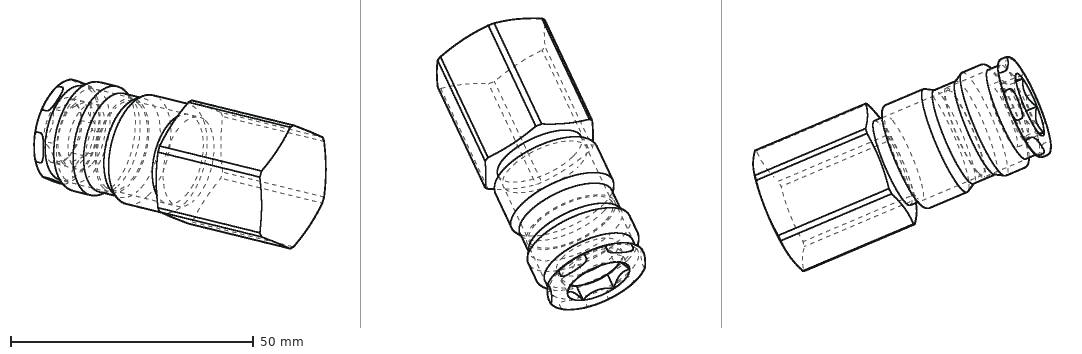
import cadquery as cq
import math

overall_length = 57.5

flange_length = 2.5
flange_diameter = 22.0
flange_flats = 21.0
flange_edge_radius = 0.8

front_neck_diameter = 20.0
rear_neck_diameter = 19

hexagon_start = 31.35
hexagon_flats = 24.05
hexagon_corner_diameter = 27
hexagon_bevel_depth = 0.45
hexagon_face_diameter = 23.9

socket_flats = 12.0
socket_bore_diameter = 14.0
socket_cone_tip_diameter = 10.35
socket_undercut_end = 3.55
socket_undercut_angle = math.radians(60)
socket_depth = 6.1

sleeve_start = 5.25
sleeve_length = 23.45
sleeve_diameter = 23.2
sleeve_edge_radius = 1.0
groove_start = 10.45
groove_width = 8.8
groove_floor_diameter = 21.0
groove_slope_length = 1.9

flats_to_y_turn = 30

sleeve_end = sleeve_start + sleeve_length
groove_end = groove_start + groove_width
stem_step = groove_start + groove_width / 2
hexagon_length = overall_length - hexagon_start


def disc(start, length, diameter):
    """Cylinder along X."""
    return cq.Workplane("YZ").workplane(offset=start).circle(diameter / 2).extrude(length)


def cone(start, length, start_diameter, end_diameter):
    """Truncated cone along X."""
    solid = cq.Solid.makeCone(
        start_diameter / 2, end_diameter / 2, length, cq.Vector(start, 0, 0), cq.Vector(1, 0, 0)
    )
    return cq.Workplane(solid)


def hexagonal_prism(start, length, across_flats, turn=0):
    """Hexagonal prism along X; without a turn, two of its corners point along Y."""
    across_corners = across_flats / math.cos(math.radians(30))
    prism = cq.Workplane("YZ").workplane(offset=start).polygon(6, across_corners).extrude(length)
    return prism.rotate((0, 0, 0), (1, 0, 0), turn)


def make_flange():
    """Disc with rounded edges, cut by six flats."""
    rounded_disc = disc(0, flange_length, flange_diameter).edges().fillet(flange_edge_radius)
    return rounded_disc.intersect(hexagonal_prism(0, flange_length, flange_flats, flats_to_y_turn))


def make_hexagonal_end():
    """Hexagon with turned corners and a bevel at both ends."""
    straight_length = hexagon_length - 2 * hexagon_bevel_depth
    straight_start = hexagon_start + hexagon_bevel_depth
    straight_end = straight_start + straight_length
    envelope = (
        disc(straight_start, straight_length, hexagon_corner_diameter)
        .union(cone(hexagon_start, hexagon_bevel_depth, hexagon_face_diameter, hexagon_corner_diameter))
        .union(cone(straight_end, hexagon_bevel_depth, hexagon_corner_diameter, hexagon_face_diameter))
    )
    return hexagonal_prism(hexagon_start, hexagon_length, hexagon_flats, flats_to_y_turn).intersect(envelope)


def make_socket():
    """Hollow of the socket: entry chamfer, hexagon, undercut cone and round bore."""
    cone_drop = (socket_bore_diameter - socket_cone_tip_diameter) / 2
    entry_length = cone_drop
    undercut_length = cone_drop / math.tan(socket_undercut_angle)
    undercut_start = socket_undercut_end - undercut_length
    bore_length = socket_depth - socket_undercut_end

    hexagon = hexagonal_prism(0, socket_undercut_end, socket_flats)
    entry = cone(0, entry_length, socket_bore_diameter, socket_cone_tip_diameter)
    undercut = cone(undercut_start, undercut_length, socket_cone_tip_diameter, socket_bore_diameter)
    bore = disc(socket_undercut_end, bore_length, socket_bore_diameter)
    return hexagon.union(entry).union(undercut).union(bore)


def make_stem():
    """Stepped round stem from the flange to the hexagonal end."""
    front_neck = disc(flange_length, stem_step - flange_length, front_neck_diameter)
    rear_neck = disc(stem_step, hexagon_start - stem_step, rear_neck_diameter)
    return front_neck.union(rear_neck)


def make_body():
    """Flange, stem and hexagonal end in one piece, with the socket in its front face."""
    return make_flange().union(make_stem()).union(make_hexagonal_end()).cut(make_socket())


def make_sleeve():
    """Ring around the stem with rounded outer edges and a grip groove."""
    outer_radius = sleeve_diameter / 2
    floor_radius = groove_floor_diameter / 2
    outline = [
        (sleeve_start, 0),
        (sleeve_start, outer_radius),
        (groove_start, outer_radius),
        (groove_start + groove_slope_length, floor_radius),
        (groove_end - groove_slope_length, floor_radius),
        (groove_end, outer_radius),
        (sleeve_end, outer_radius),
        (sleeve_end, 0),
    ]
    blank = cq.Workplane("XY").polyline(outline).close().revolve(360, (0, 0, 0), (1, 0, 0))
    return blank.faces("<X or >X").edges().fillet(sleeve_edge_radius).cut(make_stem())


body = make_body()
sleeve = make_sleeve()
result = cq.Compound.makeCompound([body.solids().val(), sleeve.solids().val()])